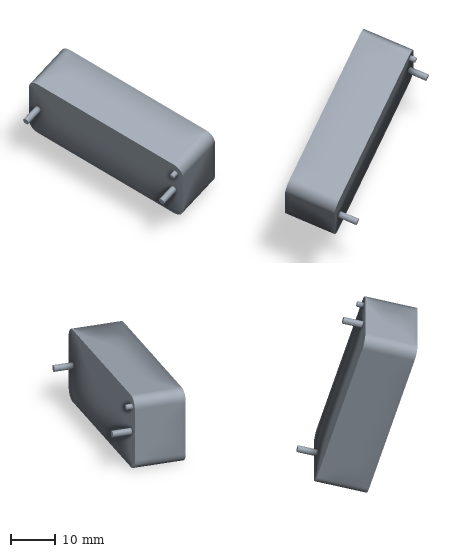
import cadquery as cq

case_length = 42.95
case_height = 17.77
overall_depth = 16.75
pin_length = 4.55
case_depth = overall_depth - pin_length
corner_radius = 2.5

pin_diameter = 1.55
pin_spacing = 38.0

peg_diameter = 1.3
peg_length = 1.5
peg_x = 19.58
peg_z = 6.35
peg_tip_radius = 0.25


def front_peg(x, z, diameter, length):
    """Round peg standing on the front face and pointing toward -Y."""
    return cq.Workplane("XZ").center(x, z).circle(diameter / 2).extrude(length)


case = (
    cq.Workplane("XZ")
    .rect(case_length, case_height)
    .extrude(-case_depth)
    .edges("|Y")
    .fillet(corner_radius)
)

locating_peg = front_peg(peg_x, peg_z, peg_diameter, peg_length).faces("<Y").edges().fillet(peg_tip_radius)

result = case.union(locating_peg)
for pin_x in (-pin_spacing / 2, pin_spacing / 2):
    result = result.union(front_peg(pin_x, 0, pin_diameter, pin_length))